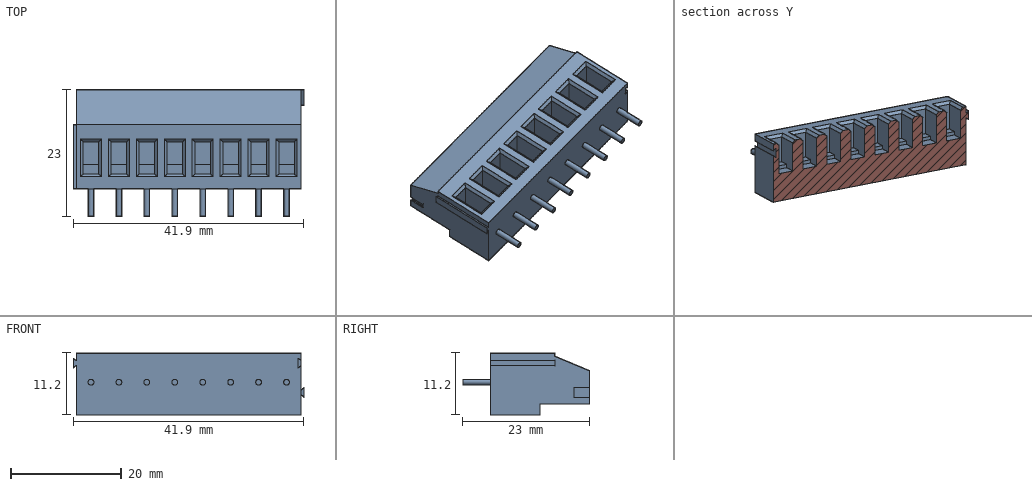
import cadquery as cq


total_length = 41.85
total_depth = 23.0
body_height = 11.2

rail_depth = 0.55
body_length = total_length - 2 * rail_depth
body_depth = 18.0
left_x = -body_length / 2
right_x = body_length / 2

slope_length_y = 6.3
roof_back_y = body_depth - slope_length_y
roof_lip_height = 0.55
back_top_drop = 3.2
back_top_z = body_height - back_top_drop
foot_setback = 8.95
foot_back_y = body_depth - foot_setback
foot_height = 1.95

pole_count = 8
pole_pitch = 5.05
pole_xs = [(i - (pole_count - 1) / 2) * pole_pitch for i in range(pole_count)]

pin_diameter = 1.05
pin_length = total_depth - body_depth
pin_drop = 5.27
pin_z = body_height - pin_drop

pocket_length_x = 3.8
pocket_length_y = 6.82
pocket_front_y = 2.2
pocket_bevel = 0.5
pocket_depth = 5.85
ledge_depth = 5.25
ledge_back_y = 4.48

upper_wide = 1.7
upper_narrow = 0.9
upper_drop = 1.8
upper_z = body_height - upper_drop
lower_wide = 1.85
lower_narrow = 0.88
lower_drop = 7.1
lower_z = body_height - lower_drop
lower_length_y = 2.85


def make_body():
    """Stepped and sloped side profile extruded along X."""
    return (
        cq.Workplane("YZ", origin=(left_x, 0, 0))
        .polyline([
            (0, 0),
            (foot_back_y, 0),
            (foot_back_y, foot_height),
            (body_depth, foot_height),
            (body_depth, back_top_z),
            (roof_back_y, body_height - roof_lip_height),
            (roof_back_y, body_height),
            (0, body_height),
        ])
        .close()
        .extrude(body_length)
    )


def make_pin(x):
    """Round pin standing out of the front face."""
    return (
        cq.Workplane("XZ", origin=(x, 0, pin_z))
        .circle(pin_diameter / 2)
        .extrude(pin_length)
    )


def block(size_x, y_start, y_end, z_bottom, z_top, x):
    """Box centred on x, spanning the given Y and Z ranges."""
    return (
        cq.Workplane("XY")
        .box(size_x, y_end - y_start, z_top - z_bottom, centered=(True, False, False))
        .translate((x, y_start, z_bottom))
    )


def make_pocket(x):
    """Cavity with a bevelled mouth and a raised ledge along the front of its floor."""
    bevel_bottom_z = body_height - pocket_bevel
    well_width = pocket_length_x - 2 * pocket_bevel
    well_length = pocket_length_y - 2 * pocket_bevel
    well_front_y = pocket_front_y + pocket_bevel
    well_back_y = well_front_y + well_length
    mouth = (
        cq.Workplane("XY", origin=(x, pocket_front_y + pocket_length_y / 2, body_height))
        .rect(pocket_length_x, pocket_length_y)
        .workplane(offset=-pocket_bevel)
        .rect(well_width, well_length)
        .loft(ruled=True)
    )
    deep_well = block(
        well_width, ledge_back_y, well_back_y, body_height - pocket_depth, bevel_bottom_z, x
    )
    ledge_well = block(
        well_width, well_front_y, ledge_back_y, body_height - ledge_depth, bevel_bottom_z, x
    )
    return mouth.union(deep_well).union(ledge_well)


def make_dovetail(narrow_x, direction, narrow, wide, z, y_start, y_end):
    """Dovetail bar along Y, widening from narrow_x towards direction (+1 or -1) in X."""
    wide_x = narrow_x + direction * rail_depth
    return (
        cq.Workplane("XZ", origin=(0, y_end, 0))
        .polyline([
            (narrow_x, z - narrow / 2),
            (wide_x, z - wide / 2),
            (wide_x, z + wide / 2),
            (narrow_x, z + narrow / 2),
        ])
        .close()
        .extrude(y_end - y_start)
    )


def upper_dovetail(narrow_x):
    """Dovetail below the roof; it widens towards -X."""
    return make_dovetail(narrow_x, -1, upper_narrow, upper_wide, upper_z, 0, roof_back_y)


def lower_dovetail(narrow_x):
    """Short dovetail at the back; it widens towards +X."""
    return make_dovetail(
        narrow_x, 1, lower_narrow, lower_wide, lower_z, body_depth - lower_length_y, body_depth
    )


result = make_body()

result = result.union(upper_dovetail(left_x)).cut(upper_dovetail(right_x))
result = result.union(lower_dovetail(right_x)).cut(lower_dovetail(left_x))

for pole_x in pole_xs:
    result = result.cut(make_pocket(pole_x)).union(make_pin(pole_x))